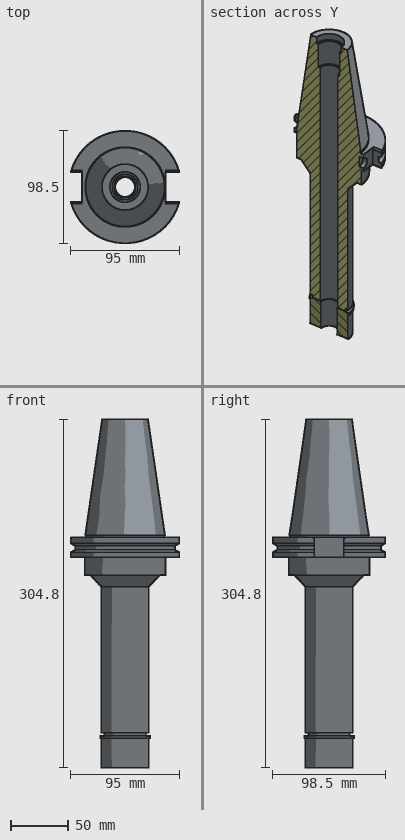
import cadquery as cq

TOTAL_HEIGHT = 304.8
NUT_COLLAR_BOTTOM = 26.0
NUT_TOP = 28.0
SHANK_BOTTOM = 30.8
CONE_BOTTOM = 158.5
HUB_BOTTOM = 168.5
FLANGE_BOTTOM = 184.0
FLANGE_TOP = 201.8
TAPER_BOTTOM = 203.3

SHANK_DIAMETER = 41.8
NECK_DIAMETER = 36.3
NUT_COLLAR_DIAMETER = 43.5
CONE_TOP_DIAMETER = 61.0
HUB_DIAMETER = 70.7
FLANGE_DIAMETER = 98.5
RELIEF_DIAMETER = 69.0
TAPER_LARGE_DIAMETER = 69.8
TAPER_RATIO = 7 / 24
TAPER_SMALL_DIAMETER = TAPER_LARGE_DIAMETER - TAPER_RATIO * (TOTAL_HEIGHT - TAPER_BOTTOM)

GROOVE_DIAMETER = 91.0
GROOVE_FLOOR_BOTTOM = 190.5
GROOVE_FLOOR_TOP = 194.2
GROOVE_WALL_HEIGHT = 2.0

SLOT_WIDTH = 26.0
SLOT_CHAMFER = 1.5
LEFT_SLOT_FLOOR = 37.8
RIGHT_SLOT_FLOOR = 35.5

CHIP_HOLE_DIAMETER = 10.0
CHIP_HOLE_DEPTH = 4.5
CHIP_HOLE_HEIGHT = 192.3

BORE_DIAMETER = 19.0
NUT_BORE_DIAMETER = 17.0
COUNTERBORE_DIAMETER = 22.5
COUNTERBORE_DEPTH = 30.5
MOUTH_DIAMETER = 26.5
MOUTH_DEPTH = 6.5


def cylinder(diameter, bottom, top):
    """Upright cylinder on the Z axis."""
    return cq.Workplane("XY").workplane(offset=bottom).circle(diameter / 2).extrude(top - bottom)


def revolve_profile(sections):
    """Solid of revolution from (diameter, height) pairs, listed upwards."""
    outline = [(diameter / 2, height) for diameter, height in sections]
    axis_start = (0, sections[0][1])
    axis_end = (0, sections[-1][1])
    profile = cq.Workplane("XZ").polyline([axis_start, *outline, axis_end]).close()
    return profile.revolve(360, (0, 0, 0), (0, 1, 0))


def drive_slot(side, floor):
    """Cutter for one slot; side is -1 for -X and +1 for +X."""
    half = SLOT_WIDTH / 2
    outline = [
        (-half, FLANGE_BOTTOM),
        (half, FLANGE_BOTTOM),
        (half, FLANGE_TOP - SLOT_CHAMFER),
        (half + SLOT_CHAMFER, FLANGE_TOP),
        (-half - SLOT_CHAMFER, FLANGE_TOP),
        (-half, FLANGE_TOP - SLOT_CHAMFER),
    ]
    section = cq.Workplane("YZ").workplane(offset=side * floor).polyline(outline).close()
    return section.extrude(side * (FLANGE_DIAMETER / 2))


def chip_hole():
    """Cutter for the blind hole, sunk towards +X from the left slot floor."""
    start = cq.Workplane("YZ").workplane(offset=-LEFT_SLOT_FLOOR)
    return start.center(0, CHIP_HOLE_HEIGHT).circle(CHIP_HOLE_DIAMETER / 2).extrude(CHIP_HOLE_DEPTH)


def make_holder():
    """Taper, grooved flange, hub and long shank in one piece."""
    body = revolve_profile([
        (NECK_DIAMETER, NUT_TOP),
        (NECK_DIAMETER, SHANK_BOTTOM),
        (SHANK_DIAMETER, SHANK_BOTTOM),
        (SHANK_DIAMETER, CONE_BOTTOM),
        (CONE_TOP_DIAMETER, HUB_BOTTOM),
        (HUB_DIAMETER, HUB_BOTTOM),
        (HUB_DIAMETER, FLANGE_BOTTOM),
        (FLANGE_DIAMETER, FLANGE_BOTTOM),
        (FLANGE_DIAMETER, GROOVE_FLOOR_BOTTOM - GROOVE_WALL_HEIGHT),
        (GROOVE_DIAMETER, GROOVE_FLOOR_BOTTOM),
        (GROOVE_DIAMETER, GROOVE_FLOOR_TOP),
        (FLANGE_DIAMETER, GROOVE_FLOOR_TOP + GROOVE_WALL_HEIGHT),
        (FLANGE_DIAMETER, FLANGE_TOP),
        (RELIEF_DIAMETER, FLANGE_TOP),
        (RELIEF_DIAMETER, TAPER_BOTTOM),
        (TAPER_LARGE_DIAMETER, TAPER_BOTTOM),
        (TAPER_SMALL_DIAMETER, TOTAL_HEIGHT),
    ])
    body = body.cut(drive_slot(-1, LEFT_SLOT_FLOOR)).cut(drive_slot(1, RIGHT_SLOT_FLOOR))
    body = body.cut(chip_hole())
    bore = revolve_profile([
        (BORE_DIAMETER, NUT_TOP),
        (BORE_DIAMETER, TOTAL_HEIGHT - COUNTERBORE_DEPTH),
        (COUNTERBORE_DIAMETER, TOTAL_HEIGHT - COUNTERBORE_DEPTH),
        (COUNTERBORE_DIAMETER, TOTAL_HEIGHT - MOUTH_DEPTH),
        (MOUTH_DIAMETER, TOTAL_HEIGHT - MOUTH_DEPTH),
        (MOUTH_DIAMETER, TOTAL_HEIGHT),
    ])
    return body.cut(bore)


def make_nut():
    """Clamping nut with a narrow collar at its upper end."""
    sleeve = cylinder(SHANK_DIAMETER, 0, NUT_COLLAR_BOTTOM)
    collar = cylinder(NUT_COLLAR_DIAMETER, NUT_COLLAR_BOTTOM, NUT_TOP)
    return sleeve.union(collar).cut(cylinder(NUT_BORE_DIAMETER, 0, NUT_TOP))


holder = make_holder()
nut = make_nut()
result = cq.Compound.makeCompound([holder.val(), nut.val()])